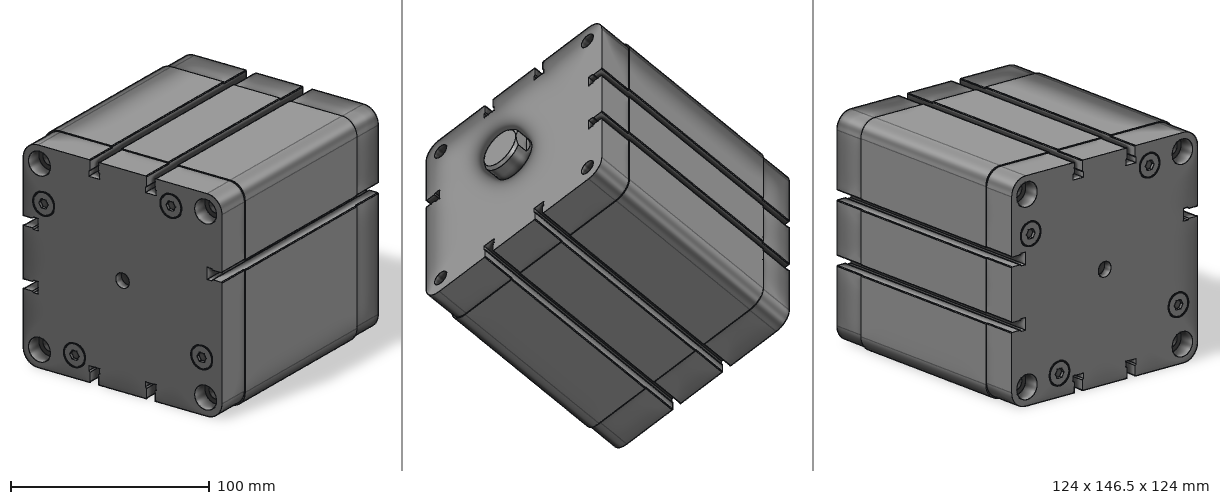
import cadquery as cq
import math

body_side = 124.0
cap_step = 0.6
cap_side = body_side - 2 * cap_step
corner_radius = 9.2
cap_length = 19.5
front_lip_length = 0.6
total_length = 146.5
rod_projection = 10.3
housing_length = total_length - rod_projection
body_length = housing_length - 2 * cap_length

slot_offset = 17.5
slot_neck_width = 5.3
slot_wide_width = 6.7
slot_mouth_chamfer = 0.5
slot_neck_depth = 6.3
slot_depth = 9.8
slots_by_turn = {
    0: (-slot_offset, slot_offset),
    90: (-slot_offset,),
    180: (-slot_offset, slot_offset),
    270: (-slot_offset, slot_offset),
}

mount_offset = 51.3
mount_hole_diameter = 8.4
mount_bore_diameter = 13.5
mount_bore_depth = 9.0

screw_near = 29.7
screw_far = 48.8
screw_bore_diameter = 13.5
screw_head_diameter = 12.5
screw_gap_depth = 1.0
socket_across_flats = 5.0
socket_depth = 1.8

center_hole_diameter = 8.4
center_hole_depth = 5.0

rod_radius = 25.0 / 2
rod_chamfer_length = 1.8
rod_chamfer_width = 1.5
flats_width = 22.4
flats_length = 7.6


def cross_plane(y=0):
    """Sketch plane across the axis: X right, Z up; negative extrusion goes towards the rod end."""
    return cq.Workplane(cq.Plane(origin=(0, y, 0), xDir=(1, 0, 0), normal=(0, -1, 0)))


def bored(points, diameter, depth):
    """Round cutters from the front face at the given (x, z) points."""
    return cross_plane().pushPoints(points).circle(diameter / 2).extrude(-depth)


def t_slot(offset, surface, mouth_chamfer, start, length):
    """T-slot cutter for the top side, with its mouth chamfered at the height of the surface."""
    half_neck = slot_neck_width / 2
    half_wide = slot_wide_width / 2
    half_mouth = half_neck + mouth_chamfer
    open_top = body_side / 2 + 1.5
    shoulder = body_side / 2 - slot_neck_depth
    right_half = [
        (half_mouth, open_top),
        (half_mouth, surface),
        (half_neck, shoulder),
        (half_wide, shoulder - (half_wide - half_neck)),
        (half_wide, body_side / 2 - slot_depth),
    ]
    if mouth_chamfer > 0:
        right_half.insert(2, (half_neck, surface - mouth_chamfer))
    left_half = [(-x, z) for x, z in reversed(right_half)]
    outline = [(offset + x, z) for x, z in right_half + left_half]
    return cross_plane(start).polyline(outline).close().extrude(-length)


def slotted_bar(side, start, length, mouth_chamfer=slot_mouth_chamfer):
    """Square bar along Y with rounded long edges and T-slots in its four sides."""
    bar = cross_plane(start).rect(side, side).extrude(-length).edges("|Y").fillet(corner_radius)
    for turn, offsets in slots_by_turn.items():
        for offset in offsets:
            slot = t_slot(offset, side / 2, mouth_chamfer, start, length)
            bar = bar.cut(slot.rotate((0, 0, 0), (0, 1, 0), turn))
    return bar


def rod_end():
    """Chamfered round rod end with a flat on the -X and the +X side."""
    tip_radius = rod_radius - rod_chamfer_width
    profile = [
        (0, housing_length),
        (rod_radius, housing_length),
        (rod_radius, total_length - rod_chamfer_length),
        (tip_radius, total_length),
        (0, total_length),
    ]
    rod = cq.Workplane("XY").polyline(profile).close().revolve(360, (0, 0, 0), (0, 1, 0))
    half_flats = flats_width / 2
    flat_start = total_length - flats_length
    flat_outline = [
        (half_flats, total_length),
        (half_flats, flat_start),
        (rod_radius, flat_start - (rod_radius - half_flats)),
        (rod_radius, total_length),
    ]
    flat = cq.Workplane("XY").polyline(flat_outline).close().extrude(rod_radius, both=True)
    return rod.cut(flat).cut(flat.mirror("YZ"))


housing = (
    slotted_bar(body_side, cap_length, body_length)
    .union(slotted_bar(cap_side, 0, front_lip_length, mouth_chamfer=0))
    .union(slotted_bar(cap_side, front_lip_length, cap_length - front_lip_length))
    .union(slotted_bar(cap_side, cap_length + body_length, cap_length))
)

mount_points = [(x, z) for x in (-mount_offset, mount_offset) for z in (-mount_offset, mount_offset)]
housing = housing.cut(bored(mount_points, mount_hole_diameter, housing_length))
housing = housing.cut(bored(mount_points, mount_bore_diameter, mount_bore_depth))

screw_points = [
    (screw_near, screw_far),
    (-screw_far, screw_near),
    (-screw_near, -screw_far),
    (screw_far, -screw_near),
]
screw_bores = bored(screw_points, screw_bore_diameter, screw_gap_depth)
screw_heads = bored(screw_points, screw_head_diameter, screw_gap_depth)
socket_diameter = socket_across_flats / math.cos(math.pi / 6)
sockets = cross_plane().pushPoints(screw_points).polygon(6, socket_diameter).extrude(-socket_depth)
housing = housing.cut(screw_bores.cut(screw_heads)).cut(sockets)

housing = housing.cut(bored([(0, 0)], center_hole_diameter, center_hole_depth))

result = housing.union(rod_end())